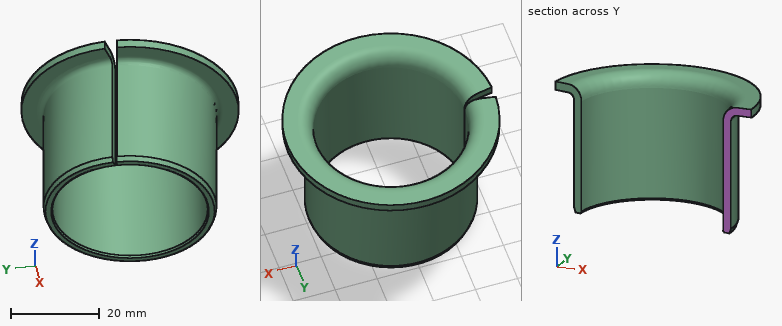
import cadquery as cq
import math

bore_radius = 17.5
wall = 2.0
flange_radius = 24.5
height = 30.0
outer_bend_radius = 1.5
outer_chamfer_height = 1.2
outer_chamfer_angle = 20.0
bore_chamfer_height = 0.5
bore_chamfer_angle = 30.0
split_half_angle = 10.0
split_apex_distance = 16.5

body_radius = bore_radius + wall
flange_underside = height - wall
inner_bend_radius = outer_bend_radius + wall
bend_centre_r = body_radius + outer_bend_radius
bend_centre_z = flange_underside - outer_bend_radius


def bend_midpoint(radius):
    """Middle of the quarter-circle bend with the given radius, as (r, z)."""
    offset = radius * math.sqrt(0.5)
    return (bend_centre_r - offset, bend_centre_z + offset)


def make_bushing():
    """Revolve the wall section: sleeve, bend and flange, with both lower edges chamfered."""
    outer_chamfer_width = outer_chamfer_height * math.tan(math.radians(outer_chamfer_angle))
    bore_chamfer_width = bore_chamfer_height * math.tan(math.radians(bore_chamfer_angle))
    return (
        cq.Workplane("XZ")
        .moveTo(bore_radius + bore_chamfer_width, 0)
        .lineTo(body_radius - outer_chamfer_width, 0)
        .lineTo(body_radius, outer_chamfer_height)
        .lineTo(body_radius, bend_centre_z)
        .threePointArc(bend_midpoint(outer_bend_radius), (bend_centre_r, flange_underside))
        .lineTo(flange_radius, flange_underside)
        .lineTo(flange_radius, height)
        .lineTo(bend_centre_r, height)
        .threePointArc(bend_midpoint(inner_bend_radius), (bore_radius, bend_centre_z))
        .lineTo(bore_radius, bore_chamfer_height)
        .close()
        .revolve(360, (0, 0), (0, 1))
        .rotate((0, 0, 0), (0, 0, 1), 180)
    )


def make_split():
    """Full-height wedge that opens outward through the -X side."""
    outer_reach = flange_radius + wall
    half_width = (outer_reach - split_apex_distance) * math.tan(math.radians(split_half_angle))
    return (
        cq.Workplane("XY")
        .moveTo(-split_apex_distance, 0)
        .lineTo(-outer_reach, half_width)
        .lineTo(-outer_reach, -half_width)
        .close()
        .extrude(height)
    )


result = make_bushing().cut(make_split())